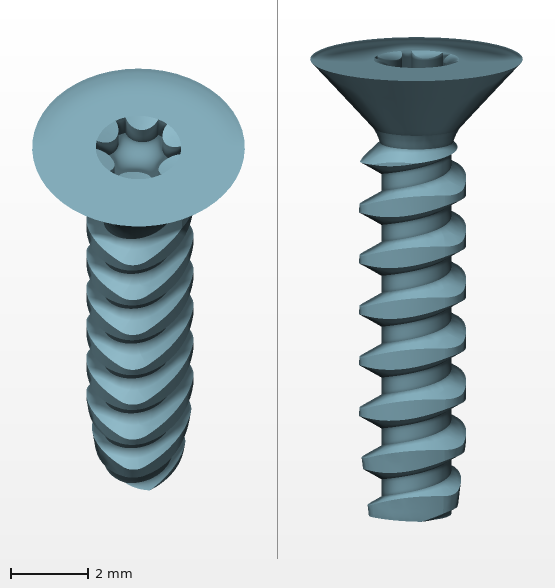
import cadquery as cq
import math

length = 12.0
head_radius = 2.75
neck_top_radius = 1.13
neck_top_z = 10.21
core_radius = 0.9
neck_bottom_z = 9.45

recess_radius = 1.1
recess_depth = 0.6
recess_cone_drop = 0.13
bump_count = 6
bump_tip_radius = 0.73
bump_radius = 0.45

lobe_reach = 1.506
flat_reach = 1.254
lobe_radius = 0.64
thread_tip_z = 2.0
tip_taper = 7.0
thread_top_z = 9.82
thread_top_radius = 0.96

pitch = 1.35
flank_angle = 30.0
crest_half_width = 0.102
ridge_phase_z = 8.12
ridge_outer_radius = 1.54
ridge_inner_radius = 0.84
overlap = 0.12


def polar(radius, degrees):
    angle = math.radians(degrees)
    return radius * math.cos(angle), radius * math.sin(angle)


def make_body():
    """Countersunk head, concave neck and core cylinder as one revolution."""
    neck_height = neck_top_z - neck_bottom_z
    neck_flare = neck_top_radius - core_radius
    arc_radius = (neck_height**2 + neck_flare**2) / (2 * neck_flare)
    half_sweep = math.asin(neck_height / arc_radius) / 2
    neck_middle = (
        core_radius + arc_radius * (1 - math.cos(half_sweep)),
        neck_bottom_z + arc_radius * math.sin(half_sweep),
    )
    return (
        cq.Workplane("XZ")
        .lineTo(core_radius, 0)
        .lineTo(core_radius, neck_bottom_z)
        .threePointArc(neck_middle, (neck_top_radius, neck_top_z))
        .lineTo(head_radius, length)
        .lineTo(0, length)
        .close()
        .revolve(360, (0, 0), (0, 1))
    )


def three_lobed_outline(z):
    """Lobes at 90, 210 and 330 degrees, tangent to the wide arcs between them."""
    lobe_center = lobe_reach - lobe_radius
    inset = flat_reach - lobe_radius
    flat_center = (lobe_center**2 - inset**2) / (2 * inset - lobe_center)
    center_distance = flat_center + inset

    def tangent_point(lobe_angle, flat_angle):
        lobe_x, lobe_y = polar(lobe_center, lobe_angle)
        flat_x, flat_y = polar(-flat_center, flat_angle)
        stretch = lobe_radius / center_distance
        return lobe_x + (lobe_x - flat_x) * stretch, lobe_y + (lobe_y - flat_y) * stretch

    outline = cq.Workplane("XY", origin=(0, 0, z)).moveTo(*tangent_point(90, 30))
    for lobe_angle in (90, 210, 330):
        flat_angle = lobe_angle + 60
        outline = outline.threePointArc(
            polar(lobe_reach, lobe_angle), tangent_point(lobe_angle, flat_angle)
        )
        outline = outline.threePointArc(
            polar(flat_reach, flat_angle), tangent_point(lobe_angle + 120, flat_angle)
        )
    return outline.close()


def make_thread_envelope():
    """Space the thread may fill: lobed prism, tapered tip, conical run-out."""
    straight = three_lobed_outline(thread_tip_z).extrude(thread_top_z - thread_tip_z)
    tip = three_lobed_outline(thread_tip_z).extrude(-thread_tip_z, taper=tip_taper)
    runout_drop = lobe_reach + overlap - thread_top_radius
    runout = (
        cq.Workplane("XZ")
        .lineTo(thread_top_radius + runout_drop, 0)
        .lineTo(thread_top_radius + runout_drop, thread_top_z - runout_drop)
        .lineTo(thread_top_radius, thread_top_z)
        .lineTo(0, thread_top_z)
        .close()
        .revolve(360, (0, 0), (0, 1))
    )
    return straight.union(tip).intersect(runout)


def make_ridge():
    """Right-handed helical ridge, longer than the thread at both ends."""
    turns_below = math.ceil(ridge_phase_z / pitch) + 1
    turns_above = math.ceil((thread_top_z - ridge_phase_z) / pitch) + 1
    height = (turns_below + turns_above) * pitch
    slope = math.tan(math.radians(flank_angle))
    inner_half = crest_half_width + (lobe_reach - ridge_inner_radius) * slope
    outer_half = crest_half_width - (ridge_outer_radius - lobe_reach) * slope
    helix = cq.Workplane(cq.Wire.makeHelix(pitch, height, core_radius))
    ridge = (
        cq.Workplane("XZ")
        .moveTo(ridge_inner_radius, -inner_half)
        .lineTo(ridge_outer_radius, -outer_half)
        .lineTo(ridge_outer_radius, outer_half)
        .lineTo(ridge_inner_radius, inner_half)
        .close()
        .sweep(helix, isFrenet=True)
    )
    start_z = ridge_phase_z - turns_below * pitch
    return ridge.rotate((0, 0, 0), (0, 0, 1), 90).translate((0, 0, start_z))


def make_recess():
    """Star socket with its bumps chamfered by a shallow cone at the mouth."""
    floor_z = length - recess_depth
    socket = cq.Workplane("XY", origin=(0, 0, floor_z)).circle(recess_radius).extrude(recess_depth)
    bumps = (
        cq.Workplane("XY", origin=(0, 0, floor_z))
        .polarArray(bump_tip_radius + bump_radius, 90, 360, bump_count)
        .circle(bump_radius)
        .extrude(recess_depth)
    )
    mouth = (
        cq.Workplane("XZ", origin=(0, 0, length))
        .lineTo(recess_radius, 0)
        .lineTo(bump_tip_radius, -recess_cone_drop)
        .lineTo(0, -recess_cone_drop)
        .close()
        .revolve(360, (0, 0), (0, 1))
    )
    return socket.cut(bumps).union(mouth)


thread = make_ridge().intersect(make_thread_envelope())
result = make_body().union(thread).cut(make_recess())